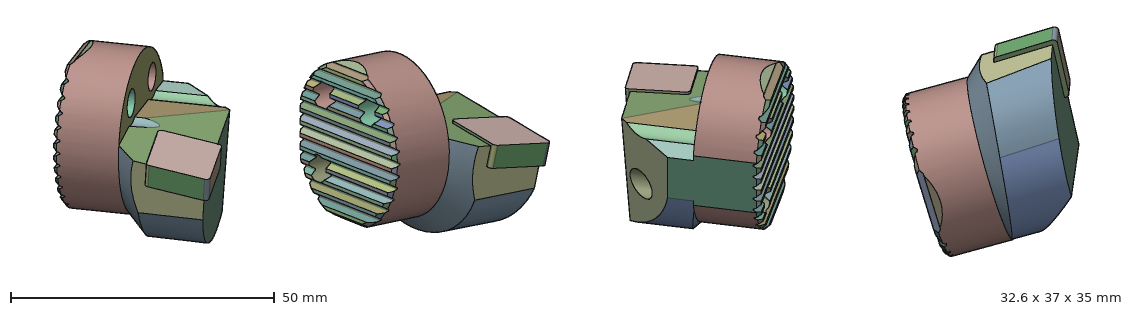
import cadquery as cq
import math


disc_diameter = 32.0
disc_radius = disc_diameter / 2
disc_length = 13.0
flat_y = 15.0
rim_chamfer = 0.78

crests_per_side = 6
outer_groove_span = 30.0
outer_groove_z = outer_groove_span / 2
groove_pitch = outer_groove_z / crests_per_side
groove_half_mouth = 0.9
groove_half_angle = 30.0
groove_root_radius = 0.15
groove_depth = groove_half_mouth / math.tan(math.radians(groove_half_angle))
relief_setback = 0.13

hole_radius = 2.75
screw_y = 7.2
screw_z = 8.25
upper_holes = [(screw_y, screw_z), (-screw_y, screw_z)]
lower_hole = (8.47, -6.55)
screw_head_radius = 4.4

head_radius = 17.6
head_center_y = -2.33
head_center_z = -1.4
head_length = 22.2
head_top_z = 4.55
rear_bevel_reach = 32.95
lean_start_x = 16.02
lean_y = -0.09
lean_z = 0.02

insert_side = 12.9
insert_thickness = 4.77
insert_corner_angle = 80.0
insert_corner_radius = 0.8
insert_step = 0.5
insert_inset = 1.0
lead_angle = 5.0
slope_x = math.tan(math.radians(-6.0))
slope_y = math.tan(math.radians(10.0))
nose_x = 32.65
nose_y = -22.1
nose_z = 0.2

beyond = 55.5


def disc():
    blank = cq.Workplane("YZ").circle(disc_radius).extrude(disc_length)
    flat_cut = cq.Workplane("XY").box(beyond, beyond, beyond).translate((0, flat_y + beyond / 2, 0))
    return blank.cut(flat_cut).faces("<X").chamfer(rim_chamfer)


def groove(center_z):
    """V groove along Y with a rounded root."""
    mouth = [(0, center_z - groove_half_mouth), (groove_depth, center_z), (0, center_z + groove_half_mouth)]
    cutter = cq.Workplane("XZ").polyline(mouth).close().extrude(beyond / 2, both=True)
    return cutter.edges(">X").fillet(groove_root_radius)


def edge_relief(side):
    """Wedge outside the last crest, parallel to its outer flank and set a little outwards."""
    relief_z = outer_groove_z - groove_half_mouth + relief_setback
    run_out_z = relief_z + beyond * math.tan(math.radians(groove_half_angle))
    profile = [(0, side * relief_z), (beyond, side * run_out_z), (0, side * run_out_z)]
    return cq.Workplane("XZ").polyline(profile).close().extrude(beyond / 2, both=True)


def cut_serrations(body):
    for index in range(-crests_per_side, crests_per_side + 1):
        body = body.cut(groove(index * groove_pitch))
    return body.cut(edge_relief(1)).cut(edge_relief(-1))


def insert_plane():
    """Plane of the insert's top face: origin at the sharp nose, x along the leading edge."""
    edge_x = -math.sin(math.radians(lead_angle))
    edge_y = math.cos(math.radians(lead_angle))
    edge_z = slope_x * edge_x + slope_y * edge_y
    return cq.Plane(
        origin=(nose_x, nose_y, nose_z),
        xDir=(edge_x, edge_y, edge_z),
        normal=(-slope_x, -slope_y, 1),
    )


def rhombus(workplane, side):
    angle = math.radians(insert_corner_angle)
    corner_x = side * math.cos(angle)
    corner_y = side * math.sin(angle)
    points = [(0, 0), (side, 0), (side + corner_x, corner_y), (corner_x, corner_y)]
    return workplane.polyline(points).close()


def insert():
    plate = rhombus(cq.Workplane(insert_plane()), insert_side).extrude(-insert_thickness)
    upright = cq.selectors.ParallelDirSelector(insert_plane().zDir)
    return plate.edges(upright).fillet(insert_corner_radius)


def head_envelope():
    """Prism bounded by the sloping top, end face and side face, all parallel to the insert's faces."""
    angle = math.radians(insert_corner_angle)
    corner_y = insert_inset
    corner_x = insert_inset * (1 + math.cos(angle)) / math.sin(angle)
    sunk = cq.Workplane(insert_plane()).workplane(offset=-insert_step).center(corner_x, corner_y)
    return rhombus(sunk, beyond).extrude(-beyond)


def head():
    start = cq.Workplane("YZ", origin=(disc_length, head_center_y, head_center_z))
    body = start.circle(head_radius).extrude(head_length)

    leaning = (
        cq.Workplane("YZ", origin=(lean_start_x, head_center_y, head_center_z))
        .circle(head_radius)
        .workplane(offset=head_length)
        .center(lean_y * head_length, lean_z * head_length)
        .circle(head_radius)
        .loft(ruled=True)
    )
    body = body.union(leaning)

    shoulder_height = head_top_z - head_center_z
    shoulders = cq.Workplane("XY").box(head_length, beyond, shoulder_height, centered=(False, True, False))
    body = body.union(shoulders.translate((disc_length, 0, head_center_z)))

    cone = (
        cq.Workplane("YZ", origin=(disc_length, 0, 0))
        .circle(disc_radius)
        .workplane(offset=head_length)
        .circle(disc_radius + head_length)
        .loft(ruled=True)
    )
    body = body.intersect(cone)

    outline = [
        (0, -beyond),
        (beyond, -beyond),
        (beyond, rear_bevel_reach - beyond),
        (rear_bevel_reach - flat_y, flat_y),
        (0, flat_y),
    ]
    plan = cq.Workplane("XY", origin=(0, 0, head_top_z)).polyline(outline).close().extrude(-beyond)
    return body.intersect(plan).intersect(head_envelope())


def holes():
    drills = cq.Workplane("YZ").pushPoints(upper_holes + [lower_hole]).circle(hole_radius)
    return drills.extrude(beyond)


def screw_head_clearance():
    start = cq.Workplane("YZ", origin=(disc_length, 0, 0))
    return start.pushPoints(upper_holes).circle(screw_head_radius).extrude(beyond)


tool_head = head().cut(screw_head_clearance()).union(insert())
result = cut_serrations(disc()).union(tool_head).cut(holes())